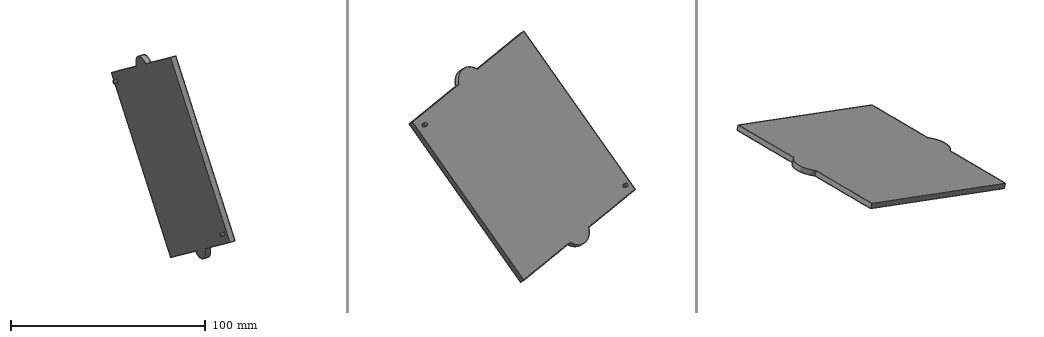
import cadquery as cq

PLATE_SIDE = 100.0
PLATE_THICKNESS = 3.0
PLATE_TILT = 45.0

EAR_DIAMETER = 19.2
EAR_CENTRE_DISTANCE = 45.2

PIN_DIAMETER = 1.8
PIN_LENGTH = 2.0
PIN_EDGE_MARGIN = 5.0
PIN_OFFSET = PLATE_SIDE / 2 - PIN_EDGE_MARGIN


def make_plate():
    """Upright square plate, before it is tilted onto its corner."""
    return cq.Workplane("XY").box(
        PLATE_SIDE, PLATE_THICKNESS, PLATE_SIDE, centered=(True, False, True)
    )


def make_disc(diameter, x, z, y_front, y_back):
    """Cylinder along Y between two depths."""
    return (
        cq.Workplane("XZ", origin=(x, y_back, z))
        .circle(diameter / 2)
        .extrude(y_back - y_front)
    )


def make_ear(side):
    """Full-thickness disc on the left (-1) or right (1) edge."""
    return make_disc(EAR_DIAMETER, side * EAR_CENTRE_DISTANCE, 0, 0, PLATE_THICKNESS)


def make_pin(side):
    """Pin on the lower-left (-1) or upper-right (1) corner."""
    return make_disc(PIN_DIAMETER, side * PIN_OFFSET, side * PIN_OFFSET, -PIN_LENGTH, 0)


part = make_plate()
for side in (-1, 1):
    part = part.union(make_ear(side), clean=False)
    part = part.union(make_pin(side), clean=False)

result = part.rotate((0, 0, 0), (0, 1, 0), PLATE_TILT)